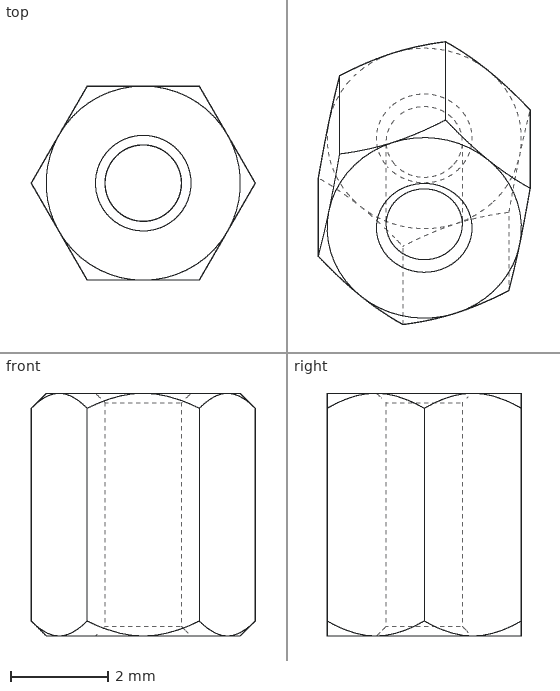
import cadquery as cq
import math

side_count = 6
across_flats = 4.0
height = 5.0
bore_diameter = 1.57
countersink_diameter = 1.97
corner_chamfer_angle = 45.0
countersink_angle = 45.0

across_corners = across_flats / math.cos(math.pi / side_count)
flat_radius = across_flats / 2
corner_radius = across_corners / 2
bore_radius = bore_diameter / 2
countersink_radius = countersink_diameter / 2
corner_drop = (corner_radius - flat_radius) * math.tan(math.radians(corner_chamfer_angle))
countersink_depth = (countersink_radius - bore_radius) * math.tan(math.radians(countersink_angle))


def revolve_about_z(profile):
    """Revolve a closed (radius, z) profile a full turn about the Z axis."""
    return cq.Workplane("XZ").polyline(profile).close().revolve(360, (0, 0), (0, 1))


def hex_prism():
    """Hexagonal bar with corners on the X axis, standing on Z = 0."""
    return cq.Workplane("XY").polygon(side_count, across_corners).extrude(height)


def chamfer_envelope():
    """Turned blank whose conical ends trim the corners of the hexagon."""
    return revolve_about_z([
        (0, 0),
        (flat_radius, 0),
        (corner_radius, corner_drop),
        (corner_radius, height - corner_drop),
        (flat_radius, height),
        (0, height),
    ])


def countersunk_bore():
    """Through bore with a conical countersink at each end."""
    return revolve_about_z([
        (0, 0),
        (countersink_radius, 0),
        (bore_radius, countersink_depth),
        (bore_radius, height - countersink_depth),
        (countersink_radius, height),
        (0, height),
    ])


result = hex_prism().intersect(chamfer_envelope()).cut(countersunk_bore())